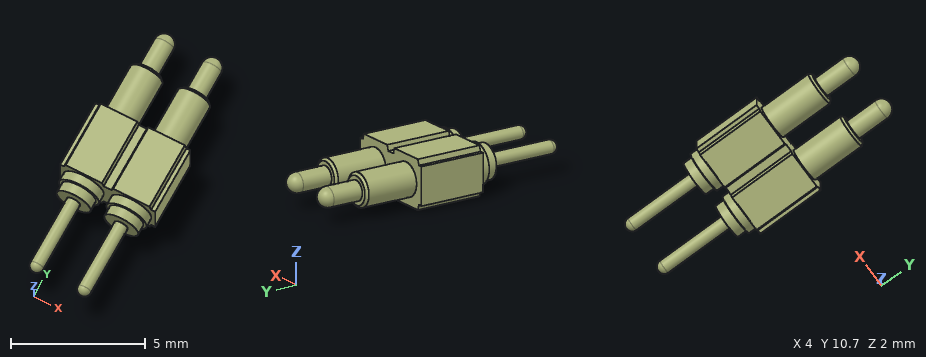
import cadquery as cq

PITCH = 2.0
PIN_COUNT = 2
HOUSING_WIDTH = PIN_COUNT * PITCH
HOUSING_HEIGHT = 2.0
NOTCH_DEPTH = 0.22
LOBE_TOP_WIDTH = 1.53
LOBE_BASE_WIDTH = 1.67

COLLAR_START = 3.16
FLANGE_START = 3.58
HOUSING_START = 3.97
HOUSING_END = 6.75
BARREL_END = 9.0
PIN_LENGTH = 10.69

TAIL_RADIUS = 0.28
COLLAR_RADIUS = 0.72
FLANGE_RADIUS = 0.84
BARREL_RADIUS = 0.68
BARREL_CHAMFER = 0.11
PLUNGER_RADIUS = 0.41

PIN_POSITIONS = [(i - (PIN_COUNT - 1) / 2) * PITCH for i in range(PIN_COUNT)]


def along_y(workplane_profile, start, end):
    """Extrude an XZ profile from one Y station to another."""
    return workplane_profile.extrude(-(end - start)).translate((0, start, 0))


def make_housing():
    """Notched block with a through hole for each pin barrel."""
    web_height = HOUSING_HEIGHT - 2 * NOTCH_DEPTH
    web = cq.Workplane("XZ").rect(HOUSING_WIDTH, web_height)
    housing = along_y(web, HOUSING_START, HOUSING_END)

    half_top = LOBE_TOP_WIDTH / 2
    half_base = LOBE_BASE_WIDTH / 2
    half_height = HOUSING_HEIGHT / 2
    half_web = web_height / 2
    lobe_outline = [
        (half_base, -half_web),
        (half_base, half_web),
        (half_top, half_height),
        (-half_top, half_height),
        (-half_base, half_web),
        (-half_base, -half_web),
        (-half_top, -half_height),
        (half_top, -half_height),
    ]
    lobe = along_y(cq.Workplane("XZ").polyline(lobe_outline).close(), HOUSING_START, HOUSING_END)
    for x in PIN_POSITIONS:
        housing = housing.union(lobe.translate((x, 0, 0)))

    holes = cq.Workplane("XZ").pushPoints([(x, 0) for x in PIN_POSITIONS]).circle(BARREL_RADIUS)
    return housing.cut(along_y(holes, HOUSING_START, HOUSING_END))


def make_pin(x):
    """Spring pin turned about Y: domed tail, collar, flange, barrel and domed plunger."""
    cos_45 = 0.5 ** 0.5
    tail_dome_mid = (TAIL_RADIUS * cos_45, TAIL_RADIUS * (1 - cos_45))
    plunger_dome_start = PIN_LENGTH - PLUNGER_RADIUS
    plunger_dome_mid = (PLUNGER_RADIUS * cos_45, plunger_dome_start + PLUNGER_RADIUS * cos_45)
    profile = (
        cq.Workplane("XY")
        .moveTo(0, 0)
        .threePointArc(tail_dome_mid, (TAIL_RADIUS, TAIL_RADIUS))
        .lineTo(TAIL_RADIUS, COLLAR_START)
        .lineTo(COLLAR_RADIUS, COLLAR_START)
        .lineTo(COLLAR_RADIUS, FLANGE_START)
        .lineTo(FLANGE_RADIUS, FLANGE_START)
        .lineTo(FLANGE_RADIUS, HOUSING_START)
        .lineTo(BARREL_RADIUS, HOUSING_START)
        .lineTo(BARREL_RADIUS, BARREL_END - BARREL_CHAMFER)
        .lineTo(BARREL_RADIUS - BARREL_CHAMFER, BARREL_END)
        .lineTo(PLUNGER_RADIUS, BARREL_END)
        .lineTo(PLUNGER_RADIUS, plunger_dome_start)
        .threePointArc(plunger_dome_mid, (0, PIN_LENGTH))
        .close()
    )
    return profile.revolve(360, (0, 0, 0), (0, 1, 0)).translate((x, 0, 0))


housing = make_housing()
pins = [make_pin(x) for x in PIN_POSITIONS]

result = cq.Compound.makeCompound([housing.val(), *[pin.val() for pin in pins]])